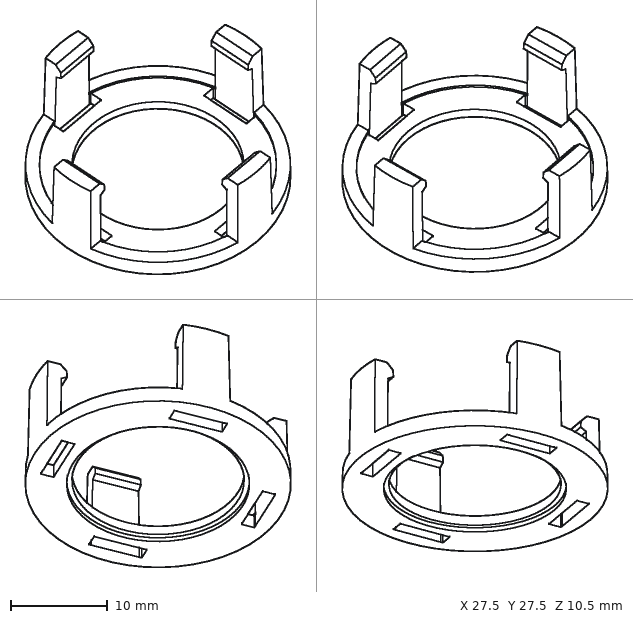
import cadquery as cq

outer_radius = 13.75
bore_radius = 8.9
counterbore_radius = 9.45
ring_height = 1.85
recess_radius = 12.26
recess_depth = 0.25
lip_thickness = 1.1
lip_top = ring_height - recess_depth
lip_bottom = lip_top - lip_thickness

arm_count = 4
arm_top = 10.5
arm_top_outer_radius = 13.55
arm_base_half_width = 2.67
arm_top_half_width = 2.53
arm_inner = 11.9
arm_inner_at_hook = 11.8

hook_bottom = 8.64
hook_tip_bottom = 9.0
hook_tip_top = 9.75
hook_tip = 11.15
hook_tip_upper = 11.2
hook_top_edge = 11.9

window_inner = 10.48
window_half_width = 2.95


def disc(radius, bottom, top):
    """Cylinder about Z between two heights."""
    return cq.Workplane("XY").workplane(offset=bottom).circle(radius).extrude(top - bottom)


def make_outer_envelope():
    """Slightly tapered solid that gives the ring and arms one conical outer face."""
    return (
        cq.Workplane("XZ")
        .lineTo(outer_radius, 0)
        .lineTo(arm_top_outer_radius, arm_top)
        .lineTo(0, arm_top)
        .close()
        .revolve(360, (0, 0, 0), (0, 1, 0))
    )


def make_base():
    """Bored ring with a shallow recess on top and a counterbore below."""
    base = disc(outer_radius, 0, ring_height)
    base = base.cut(disc(recess_radius, lip_top, ring_height))
    base = base.cut(disc(counterbore_radius, 0, lip_bottom))
    return base.cut(disc(bore_radius, 0, ring_height))


def make_window():
    """Rectangular cutter at the +X arm."""
    return cq.Workplane("XY").box(
        arm_inner - window_inner, 2 * window_half_width, ring_height, centered=(False, True, False)
    ).translate((window_inner, 0, 0))


def make_arm():
    """Hooked arm on +X, narrowing upward."""
    side_profile = (
        cq.Workplane("XZ")
        .moveTo(outer_radius, 0)
        .lineTo(outer_radius, arm_top)
        .lineTo(hook_top_edge, arm_top)
        .lineTo(hook_tip_upper, hook_tip_top)
        .lineTo(hook_tip, hook_tip_bottom)
        .lineTo(arm_inner_at_hook, hook_bottom)
        .lineTo(arm_inner, 0)
        .close()
        .extrude(arm_base_half_width, both=True)
    )
    width_profile = (
        cq.Workplane("YZ")
        .moveTo(-arm_base_half_width, 0)
        .lineTo(arm_base_half_width, 0)
        .lineTo(arm_base_half_width, ring_height)
        .lineTo(arm_top_half_width, arm_top)
        .lineTo(-arm_top_half_width, arm_top)
        .lineTo(-arm_base_half_width, ring_height)
        .close()
        .extrude(outer_radius)
    )
    return side_profile.intersect(width_profile)


result = make_base()
window = make_window()
arm = make_arm()
for index in range(arm_count):
    angle = index * 360 / arm_count
    result = result.cut(window.rotate((0, 0, 0), (0, 0, 1), angle))
    result = result.union(arm.rotate((0, 0, 0), (0, 0, 1), angle))
result = result.intersect(make_outer_envelope())